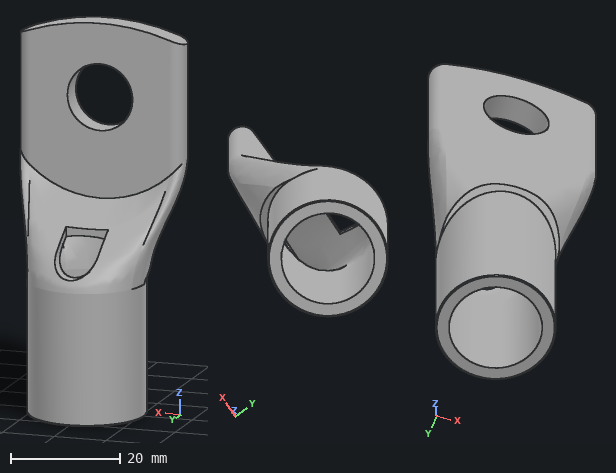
import cadquery as cq
import math

barrel_diameter = 22.0
bore_diameter = 17.0
barrel_height = 25.0
barrel_edge_chamfer = 0.2
shoulder_angle = 30.0

total_height = 71.6
palm_width = 32.0
palm_thickness = 5.0
total_depth = 23.5
palm_side_top_z = 68.35
palm_side_bottom_z = 46.65
palm_middle_bottom_z = 38.65
bolt_hole_diameter = 12.5
bolt_hole_z = 57.6

neck_front_y = -11.5
neck_front_corner = (10.65, -3.95)
back_corner_y = 4.3
section_count = 5
back_corner_end_slope = 0.6
back_middle_end_slope = 1.3

slit_half_width = 10.0
slit_half_thickness = 0.3
slit_z = 38.65

window_width = 8.1
window_bottom_z = 27.2

barrel_radius = barrel_diameter / 2
bore_radius = bore_diameter / 2
palm_front_y = barrel_radius - total_depth
palm_half_width = palm_width / 2
palm_round = palm_thickness / 2
palm_flat_half_width = palm_half_width - palm_round
palm_back_y = palm_front_y + palm_thickness
palm_middle_y = palm_front_y + palm_round
palm_bottom_rise = palm_side_bottom_z - palm_middle_bottom_z
palm_bottom_radius = (palm_half_width**2 + palm_bottom_rise**2) / (2 * palm_bottom_rise)
palm_top_drop = total_height - palm_side_top_z
palm_top_radius = (palm_half_width**2 + palm_top_drop**2) / (2 * palm_top_drop)
palm_corner_bottom_z = (
    palm_middle_bottom_z
    + palm_bottom_radius
    - math.sqrt(palm_bottom_radius**2 - palm_flat_half_width**2)
)


def disc(radius, center_z):
    """Thick disc with its axis along Y."""
    return cq.Workplane("XZ").center(0, center_z).circle(radius).extrude(palm_width, both=True)


def make_palm():
    """Stadium section running up Z, trimmed to arcs at the bottom and top."""
    bar = (
        cq.Workplane("XY")
        .center(0, palm_middle_y)
        .slot2D(palm_width, palm_thickness)
        .extrude(total_height)
    )
    bottom_trim = disc(palm_bottom_radius, palm_middle_bottom_z + palm_bottom_radius)
    top_trim = disc(palm_top_radius, total_height - palm_top_radius)
    return bar.intersect(bottom_trim).intersect(top_trim)


def section_wire(front, front_corner, side, back_corner, back):
    """Closed wire of four arcs, mirrored about the YZ plane."""
    def mirrored(point):
        return cq.Vector(-point.x, point.y, point.z)

    arc = cq.Edge.makeThreePointArc
    return cq.Wire.assembleEdges([
        arc(mirrored(front_corner), front, front_corner),
        arc(front_corner, side, back_corner),
        arc(back_corner, back, mirrored(back_corner)),
        arc(mirrored(back_corner), mirrored(side), mirrored(front_corner)),
    ])


def blend(start, end, end_slope, t):
    """Point on a curve that leaves start straight up and reaches end at t = 1."""
    sideways = (3 - end_slope) * t**2 - (2 - end_slope) * t**3
    return cq.Vector(
        start[0] + (end[0] - start[0]) * sideways,
        start[1] + (end[1] - start[1]) * sideways,
        start[2] + (end[2] - start[2]) * t,
    )


def blended_wires(starts, ends):
    """Section wires that change smoothly from the start outline to the end outline.

    Points run front, front corner, side, back corner, back.
    """
    slopes = (0, 0, 0, back_corner_end_slope, back_middle_end_slope)
    wires = []
    for index in range(section_count):
        t = index / (section_count - 1)
        points = [blend(start, end, slope, t) for start, end, slope in zip(starts, ends, slopes)]
        wires.append(section_wire(*points))
    return wires


def make_neck(palm):
    """Outer body of the neck, ending exactly on the arched bottom face of the palm."""
    back_corner_x = math.sqrt(barrel_radius**2 - back_corner_y**2)
    starts = [
        (0, neck_front_y, barrel_height),
        (*neck_front_corner, barrel_height),
        (barrel_radius, 0, barrel_height),
        (back_corner_x, back_corner_y, barrel_height),
        (0, barrel_radius, barrel_height),
    ]
    ends = [
        (0, palm_front_y, palm_middle_bottom_z),
        (palm_flat_half_width, palm_front_y, palm_corner_bottom_z),
        (palm_half_width, palm_middle_y, palm_side_bottom_z),
        (palm_flat_half_width, palm_back_y, palm_corner_bottom_z),
        (0, palm_back_y, palm_middle_bottom_z),
    ]
    wires = blended_wires(starts, ends)
    palm_end = palm.faces("<Z")
    end_edges = [palm_end.edges(side).val() for side in ("<Y", ">X", ">Y", "<X")]
    wires[-1] = cq.Wire.assembleEdges(end_edges)
    skin = cq.Solid.makeLoft(wires).Faces()
    base = cq.Face.makeFromWires(wires[0])
    shell = cq.Shell.makeShell([*skin, base, palm_end.val()])
    return cq.Workplane(cq.Solid.makeSolid(shell))


def make_cavity():
    """Bore of the barrel and its flattened continuation inside the neck."""
    diagonal = bore_radius * math.sqrt(0.5)
    starts = [
        (0, -bore_radius, barrel_height),
        (diagonal, -diagonal, barrel_height),
        (bore_radius, 0, barrel_height),
        (diagonal, diagonal, barrel_height),
        (0, bore_radius, barrel_height),
    ]
    slit_corner = slit_half_width - slit_half_thickness
    ends = [
        (0, palm_middle_y - slit_half_thickness, slit_z),
        (slit_corner, palm_middle_y - slit_half_thickness / 2, slit_z),
        (slit_half_width, palm_middle_y, slit_z),
        (slit_corner, palm_middle_y + slit_half_thickness / 2, slit_z),
        (0, palm_middle_y + slit_half_thickness, slit_z),
    ]
    bore = cq.Workplane("XY").circle(bore_radius).extrude(barrel_height)
    return bore.union(cq.Workplane(cq.Solid.makeLoft(blended_wires(starts, ends))))


def make_shoulder_wedge():
    """Space under the sloped shoulder, on the front half of the barrel."""
    rise = barrel_diameter * math.tan(math.radians(shoulder_angle))
    return (
        cq.Workplane("YZ")
        .moveTo(0, barrel_height)
        .lineTo(-barrel_diameter, barrel_height)
        .lineTo(-barrel_diameter, barrel_height + rise)
        .close()
        .extrude(palm_width, both=True)
    )


def make_barrel(shoulder_wedge):
    """Round barrel whose front half rises to the sloped shoulder."""
    cylinder = cq.Workplane("XY").circle(barrel_radius).extrude(barrel_height)
    raised_front = (
        cq.Workplane("XY", origin=(0, 0, barrel_height))
        .circle(barrel_radius)
        .extrude(barrel_height)
        .intersect(shoulder_wedge)
    )
    return cylinder.faces("<Z").edges().chamfer(barrel_edge_chamfer).union(raised_front)


def make_window():
    """Slot with a round bottom, cutting everything behind the barrel axis."""
    radius = window_width / 2
    window_middle_z = window_bottom_z + radius
    return (
        cq.Workplane("XZ")
        .moveTo(-radius, palm_side_bottom_z)
        .lineTo(-radius, window_middle_z)
        .threePointArc((0, window_bottom_z), (radius, window_middle_z))
        .lineTo(radius, palm_side_bottom_z)
        .close()
        .extrude(-barrel_diameter)
    )


def make_bolt_hole():
    """Round hole through the palm."""
    return (
        cq.Workplane("XZ")
        .center(0, bolt_hole_z)
        .circle(bolt_hole_diameter / 2)
        .extrude(palm_width, both=True)
    )


shoulder_wedge = make_shoulder_wedge()
palm = make_palm()
neck = make_neck(palm).cut(shoulder_wedge)
body = make_barrel(shoulder_wedge).union(neck).union(palm)
lug = body.cut(make_cavity()).cut(make_window()).cut(make_bolt_hole())
result = cq.Workplane(lug.solids().val())